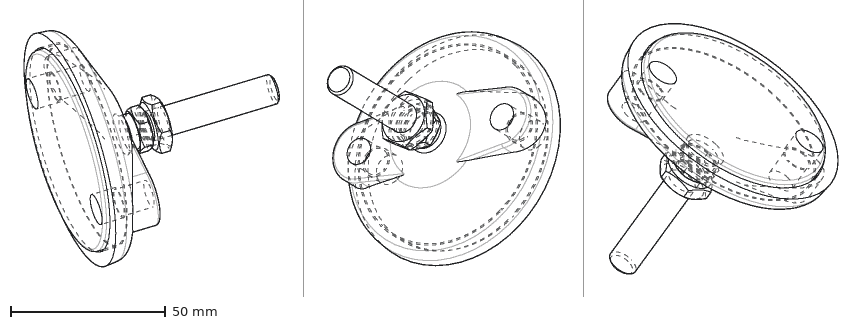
import cadquery as cq
import math


pad_radius = 34
pad_thickness = 8
pad_edge_fillet = 1
pad_hole_diameter = 10.2

pad_projection = 2
recess_radius = 34.5
rim_radius = 39.5
rim_shoulder_radius = 38.9
rim_shoulder_y = 8.25
rim_fillet = 4
cone_top_radius = 18.25
cone_top_y = 18
crown_radius = 7
crown_y = 20

bolt_offset = 27.5
bolt_hole_diameter = 9
lug_radius = 10.5
lug_splay_angle = 7
lug_top_y = 18.5
lug_fillet = 1

thread_radius = 5
thread_chamfer = 0.8
undercut_depth = 0.45
collar_radius = 6
collar_bottom_y = 21.6
stud_hex_y = 24.1
stud_hex_height = 4.5
stud_hex_flats = 14
stud_top_y = 73.7

nut_y = 29.7
nut_height = 5
nut_flats = 17
nut_turn = 30

hex_chamfer_angle = 30
hex_face_ratio = 0.95


def revolve_about_y(profile):
    """Turn a closed (radius, y) sketch about the Y axis."""
    return profile.close().revolve(360, (0, 0, 0), (0, 1, 0))


def rod(radius, y_start, y_end, x=0):
    """Round bar along Y."""
    return cq.Workplane("XZ", origin=(x, y_start, 0)).circle(radius).extrude(y_start - y_end)


def hexagon(flats, y_start, height, corner_turn=0):
    """Hexagon along Y with its corners turned down by a cone at both ends."""
    corner_radius = flats / math.sqrt(3)
    face_radius = hex_face_ratio * flats / 2
    drop = (corner_radius - face_radius) * math.tan(math.radians(hex_chamfer_angle))
    prism = (
        cq.Workplane("XZ", origin=(0, y_start, 0))
        .polygon(6, 2 * corner_radius)
        .extrude(-height)
        .rotate((0, 0, 0), (0, 1, 0), corner_turn)
    )
    y_end = y_start + height
    envelope = revolve_about_y(
        cq.Workplane("XY")
        .moveTo(0, y_start)
        .lineTo(face_radius, y_start)
        .lineTo(corner_radius, y_start + drop)
        .lineTo(corner_radius, y_end - drop)
        .lineTo(face_radius, y_end)
        .lineTo(0, y_end)
    )
    return prism.intersect(envelope)


def make_lug(side):
    """Lug with a round outer end and walls that splay towards the middle of the base."""
    inner_half_width = lug_radius + bolt_offset * math.tan(math.radians(lug_splay_angle))
    lug = (
        cq.Workplane("XZ", origin=(0, pad_thickness, 0))
        .moveTo(0, -inner_half_width)
        .lineTo(side * bolt_offset, -lug_radius)
        .threePointArc((side * (bolt_offset + lug_radius), 0), (side * bolt_offset, lug_radius))
        .lineTo(0, inner_half_width)
        .close()
        .extrude(pad_thickness - lug_top_y)
    )
    return lug.faces(">Y").edges("not(|Z)").fillet(lug_fillet)


def make_base():
    """Conical base with two lugs, bolt holes and a recess for the pad."""
    body = revolve_about_y(
        cq.Workplane("XY")
        .moveTo(0, pad_projection)
        .lineTo(rim_radius, pad_projection)
        .lineTo(rim_shoulder_radius, rim_shoulder_y)
        .lineTo(cone_top_radius, cone_top_y)
        .lineTo(crown_radius, crown_y)
        .lineTo(0, crown_y)
    )
    shoulder = cq.selectors.NearestToPointSelector((0, rim_shoulder_y, 0))
    body = body.edges(shoulder).fillet(rim_fillet)
    for side in (-1, 1):
        body = body.union(make_lug(side))
    for side in (-1, 1):
        body = body.cut(rod(bolt_hole_diameter / 2, 0, stud_top_y, side * bolt_offset))
    return body.cut(rod(recess_radius, 0, pad_thickness))


def make_pad():
    """Rubber disc with a clearance hole under each bolt hole."""
    pad = rod(pad_radius, 0, pad_thickness).faces("<Y").edges().fillet(pad_edge_fillet)
    for side in (-1, 1):
        pad = pad.cut(rod(pad_hole_diameter / 2, 0, pad_thickness, side * bolt_offset))
    return pad


def make_stud():
    """Threaded stud with a flared collar, a wrench hexagon and a V groove above it."""
    hex_top_y = stud_hex_y + stud_hex_height
    shank = revolve_about_y(
        cq.Workplane("XY")
        .moveTo(0, crown_y)
        .lineTo(crown_radius, crown_y)
        .lineTo(collar_radius, collar_bottom_y)
        .lineTo(collar_radius, stud_hex_y)
        .lineTo(thread_radius, stud_hex_y)
        .lineTo(thread_radius, hex_top_y)
        .lineTo(thread_radius - undercut_depth, (hex_top_y + nut_y) / 2)
        .lineTo(thread_radius, nut_y)
        .lineTo(thread_radius, stud_top_y - thread_chamfer)
        .lineTo(thread_radius - thread_chamfer, stud_top_y)
        .lineTo(0, stud_top_y)
    )
    return shank.union(hexagon(stud_hex_flats, stud_hex_y, stud_hex_height))


def make_nut():
    """Lock nut with its corners along Z."""
    nut = hexagon(nut_flats, nut_y, nut_height, nut_turn)
    return nut.cut(rod(thread_radius, nut_y, nut_y + nut_height))


base = make_base()
pad = make_pad()
stud = make_stud()
nut = make_nut()

result = cq.Compound.makeCompound([base.val(), pad.val(), stud.val(), nut.val()])